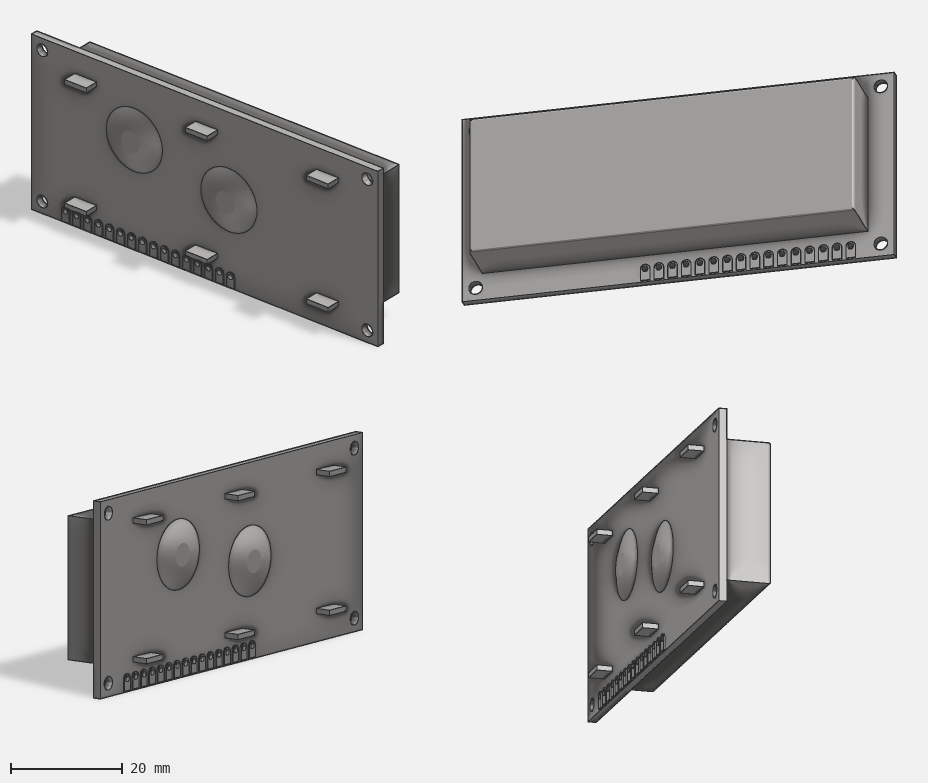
import cadquery as cq
import math

board_length = 80.0
board_height = 36.0
board_thickness = 1.5

mount_hole_diameter = 2.5
mount_hole_inset = 2.5

housing_length = 71.4
housing_height = 26.3
housing_depth = 9.4
housing_center_x = 0.6
housing_center_z = 0.3
housing_edge_radius = 0.5

tab_width = 5.0
tab_thickness = 1.0
tab_protrusion = 3.0
tab_pitch = 27.9
tab_center_x = 0.5

dome_radius = 6.5
dome_flat_radius = 2.2
dome_height = 1.0
dome_centers = [(-16.2, 4.6), (5.6, 0.0)]

pad_count = 16
pad_row_length = 38.1
pad_pitch = pad_row_length / (pad_count - 1)
pad_first_x = -32.0
pad_width = 1.8
pad_thickness = 0.2
pad_edge_gap = 0.2
pad_hole_diameter = 1.0
pad_hole_z = mount_hole_inset - board_height / 2
pad_bottom_z = pad_edge_gap - board_height / 2


def box(x_range, y_range, z_range):
    """Box spanning the given (low, high) ranges."""
    sizes = [high - low for low, high in (x_range, y_range, z_range)]
    corner = (x_range[0], y_range[0], z_range[0])
    return cq.Workplane("XY").box(*sizes, centered=False).translate(corner)


def span(center, size):
    """(low, high) range of a size about a centre."""
    return (center - size / 2, center + size / 2)


def y_cylinders(points, diameter, y_start, y_end):
    """Cylinders along Y at the given (X, Z) points."""
    plane = cq.Workplane("XZ", origin=(0, y_end, 0))
    return plane.pushPoints(points).circle(diameter / 2).extrude(y_end - y_start)


def make_board():
    return box(span(0, board_length), (0, board_thickness), span(0, board_height))


def make_housing():
    back_y = board_thickness + housing_depth
    housing = box(
        span(housing_center_x, housing_length),
        (board_thickness, back_y),
        span(housing_center_z, housing_height),
    )
    return housing.faces(">Y").edges().fillet(housing_edge_radius)


def make_tabs():
    """Tabs whose outer faces are flush with the housing's top and bottom."""
    tabs = cq.Workplane("XY")
    row_offset = (housing_height - tab_thickness) / 2
    for column in (-1, 0, 1):
        for row in (-1, 1):
            tabs = tabs.add(
                box(
                    span(tab_center_x + column * tab_pitch, tab_width),
                    (-tab_protrusion, board_thickness),
                    span(housing_center_z + row * row_offset, tab_thickness),
                )
            )
    return tabs.combine()


def make_dome(center_x, center_z):
    """Dome revolved about Y; its arc leaves the flat top tangentially."""
    run = dome_radius - dome_flat_radius
    arc_radius = (run**2 + dome_height**2) / (2 * dome_height)
    half_angle = math.asin(run / arc_radius) / 2
    arc_mid = (
        dome_flat_radius + arc_radius * math.sin(half_angle),
        -dome_height + arc_radius * (1 - math.cos(half_angle)),
    )
    profile = (
        cq.Workplane("XY")
        .moveTo(0, board_thickness / 2)
        .lineTo(0, -dome_height)
        .lineTo(dome_flat_radius, -dome_height)
        .threePointArc(arc_mid, (dome_radius, 0))
        .lineTo(dome_radius, board_thickness / 2)
        .close()
    )
    return profile.revolve(360, (0, 0), (0, 1)).translate((center_x, 0, center_z))


def make_pad(center_x):
    """Pad with a round upper end, passing through the board to show on both faces."""
    front_y = -pad_thickness
    back_y = board_thickness + pad_thickness
    stem = box(span(center_x, pad_width), (front_y, back_y), (pad_bottom_z, pad_hole_z))
    return stem.union(y_cylinders([(center_x, pad_hole_z)], pad_width, front_y, back_y))


mount_hole_points = [
    (side * (board_length / 2 - mount_hole_inset), level * (board_height / 2 - mount_hole_inset))
    for side in (-1, 1)
    for level in (-1, 1)
]
pad_centers_x = [pad_first_x + i * pad_pitch for i in range(pad_count)]
pad_hole_points = [(x, pad_hole_z) for x in pad_centers_x]

result = make_board().union(make_housing()).union(make_tabs())
for dome_x, dome_z in dome_centers:
    result = result.union(make_dome(dome_x, dome_z))
for pad_x in pad_centers_x:
    result = result.union(make_pad(pad_x))

hole_y_range = (-pad_thickness, board_thickness + pad_thickness)
result = result.cut(y_cylinders(mount_hole_points, mount_hole_diameter, *hole_y_range))
result = result.cut(y_cylinders(pad_hole_points, pad_hole_diameter, *hole_y_range))